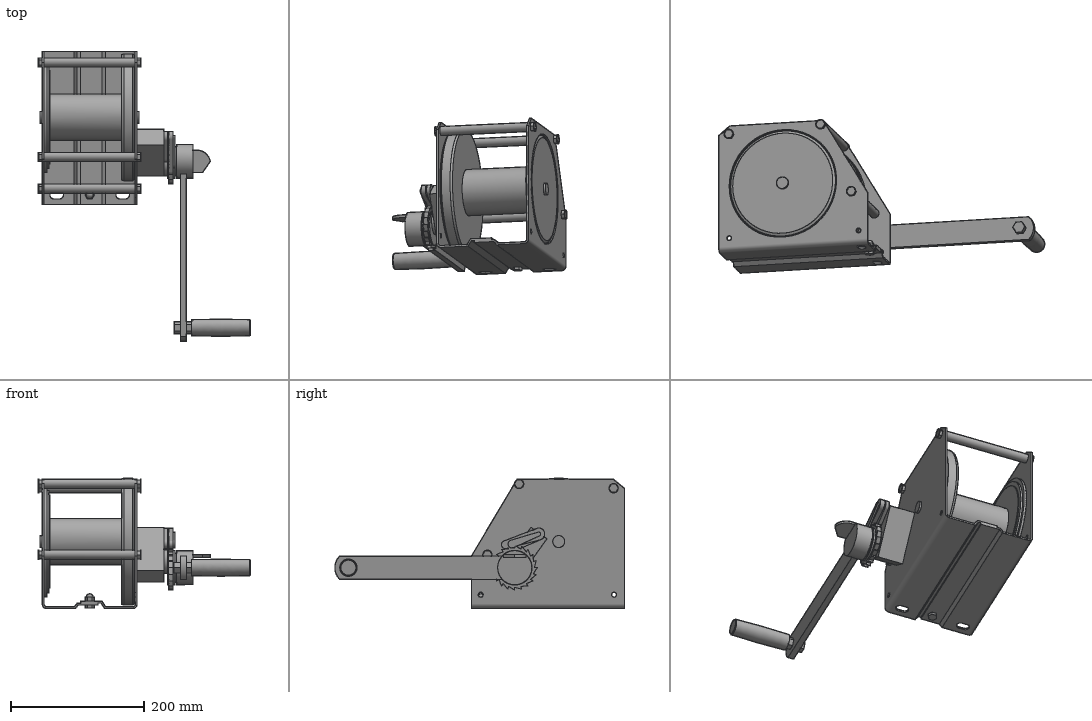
import cadquery as cq
import math


TOTAL_LENGTH_X = 318.23
TOTAL_LENGTH_Y = 434.98
TOTAL_HEIGHT = 196.0

SHEET = 3.0
FRAME_WIDTH = 142.6
PLATE_HEIGHT = 194.2
BACK_Y = 99.0
FRONT_Y = -131.0
BEND_RADIUS = 7.0
SLOPE_TOP_Y = -62.5
SLOPE_BOTTOM_Z = 79.0
BACK_CHAMFER_Y = 17.0
BACK_CHAMFER_Z = 14.0
LEFT_FOOT_END_X = 49.5
RIGHT_FOOT_END_X = 93.8
LOWER_RISE_RUN = 4.5
UPPER_RISE_RUN = 5.5
LOWER_OVERLAP_X = 84.0
UPPER_OVERLAP_X = 57.5
LOWER_RISE = 5.2
UPPER_RISE = LOWER_RISE + SHEET

SIDE_HOLE_DIAMETER = 7.0
SIDE_HOLE_Z = 21.0
SIDE_HOLE_YS = (83.0, -117.0)
SLOT_LENGTH = 20.0
SLOT_WIDTH = 12.0
SLOT_INSET = 21.8
SLOT_Y = -116.3

CLAMP_BOLT_Y = -116.5
CLAMP_HEX = 12.0
CLAMP_HEAD_BOTTOM = 1.0
CLAMP_NUT_HEIGHT = 6.0
CLAMP_DOME_RADIUS = 5.3

TIE_RODS = ((82.3, 180.7), (-59.4, 187.2), (-107.0, 80.9))
ROD_DIAMETER = 14.0
ROD_HEAD_HEX = 12.0
ROD_END_DISC = 1.0
ROD_HEAD_LEFT = 6.0
ROD_HEAD_RIGHT = 5.6

DRUM_Z = 100.7
BARREL_RADIUS = 34.8
RIGHT_FLANGE_RADIUS = TOTAL_HEIGHT - DRUM_Z
RIGHT_FLANGE_LEFT = 119.0
RIGHT_FLANGE_RIGHT = 138.0
RIM_TAPER_LENGTH = 3.5
RIM_TAPER = 1.2
RIM_RIGHT_BEVEL = 2.2
LEFT_OPENING_RADIUS = 82.8
LEFT_FLANGE_RADIUS = 81.2
LEFT_FACE_RADIUS = 77.3
LEFT_BEVEL = 1.5
INNER_STEPS = ((83.0, 3.0, 7.0), (77.0, 7.0, 10.0), (70.0, 10.0, 11.7))
SPACER_RADIUS = 90.0
HUB_DIAMETER = 18.0
HUB_LEFT_PROJECTION = 3.4
HUB_RIGHT_PROJECTION = 3.0

CRANK_Y = -66.0
CRANK_Z = 61.5
HOUSING_END_X = 182.5
HOUSING_TOP = (-41.7, 122.0)
HOUSING_FRONT = (-88.0, 57.0)
HOUSING_THICKNESS = 29.5
BACK_DISC_RADIUS = 18.0
BACK_DISC_CENTER = (-70.0, 70.6)
FRICTION_RADIUS = 26.0
FRICTION_LEFT_X = 188.0
RATCHET_LEFT_X = 189.8
RATCHET_RIGHT_X = 196.6
RATCHET_RADIUS = 33.8
RATCHET_ROOT_RADIUS = 29.5
RATCHET_TEETH = 20
CRANK_HUB_LEFT_X = 201.5
CRANK_HUB_RIGHT_X = 226.6
CRANK_HUB_RADIUS = 25.6
NECK_RADIUS = 22.0
PAWL_PIVOT = (-30.0, 112.0)
PAWL_LAYERS = (
    (HOUSING_END_X, FRICTION_LEFT_X, 9.0, (-60.0, 97.0), 7.0),
    (RATCHET_LEFT_X, RATCHET_RIGHT_X, 9.0, (-80.0, 96.0), 6.0),
    (RATCHET_RIGHT_X, 199.5, 3.0, (-70.0, 97.0), 6.0),
)
PAWL_PIN_RADIUS = 3.0

LEAF_BOTTOM_Z = 76.8
LEAF_TOP_Z = 81.0
LEAF_HALF_WIDTH = 17.0
LEAF_BACK_STRAIGHT = 7.0
LEAF_FRONT_STRAIGHT = 14.0
LEAF_BULGE = (247.5, 10.0)
LEAF_TIP_X = 252.3
LEAF_ROOT = 1.0

ARM_LEFT_X = 207.2
ARM_THICKNESS = 9.2
ARM_HEIGHT = 35.0
ARM_END_Y = BACK_Y - TOTAL_LENGTH_Y
ARM_SHOULDER_Y = -328.5
GRIP_Y = -315.5
GRIP_HEX = 16.0
GRIP_BOLT_HEAD = 9.3
GRIP_LEFT_X = 224.3
GRIP_RIGHT_X = TOTAL_LENGTH_X - ROD_HEAD_LEFT
GRIP_END_RADIUS = 12.3
GRIP_MIDDLE_RADIUS = 13.0
GRIP_CAP_LENGTH = 1.5
GRIP_CAP_BEVEL = 1.0


def x_cylinder(x0, x1, y, z, radius):
    """Cylinder along X about the axis at (y, z)."""
    return cq.Workplane("YZ", origin=(x0, y, z)).circle(radius).extrude(x1 - x0)


def x_hexagon(x0, x1, y, z, across_flats):
    """Hexagonal prism along X with corners pointing along Y."""
    corner_diameter = across_flats / math.cos(math.pi / 6)
    return cq.Workplane("YZ", origin=(x0, y, z)).polygon(6, corner_diameter).extrude(x1 - x0)


def revolved_about_x(radius_profile, y, z):
    """Solid of revolution about an X-parallel axis from (x, radius) points."""
    outline = cq.Workplane("XY", origin=(0, y, z)).polyline(radius_profile).close()
    return outline.revolve(360, (0, 0, 0), (1, 0, 0))


def side_outline():
    """Block across the frame with the outline of the side plates."""
    points = [
        (BACK_Y, 0),
        (BACK_Y, PLATE_HEIGHT - BACK_CHAMFER_Z),
        (BACK_Y - BACK_CHAMFER_Y, PLATE_HEIGHT),
        (SLOPE_TOP_Y, PLATE_HEIGHT),
        (FRONT_Y, SLOPE_BOTTOM_Z),
        (FRONT_Y, 0),
    ]
    return cq.Workplane("YZ").polyline(points).close().extrude(FRAME_WIDTH)


def frame_half(foot_end_x, rise_run, overlap_end_x, rise):
    """Left-hand bent sheet: side plate, foot and raised strip, full height along Y."""
    rise_end_x = foot_end_x + rise_run
    points = [
        (0, 0),
        (foot_end_x, 0),
        (rise_end_x, rise),
        (overlap_end_x, rise),
        (overlap_end_x, rise + SHEET),
        (rise_end_x - SHEET / 2, rise + SHEET),
        (foot_end_x - SHEET / 2, SHEET),
        (SHEET, SHEET),
        (SHEET, PLATE_HEIGHT),
        (0, PLATE_HEIGHT),
    ]
    sheet = cq.Workplane("XZ", origin=(0, BACK_Y, 0)).polyline(points).close().extrude(BACK_Y - FRONT_Y)
    sheet = sheet.edges(cq.selectors.NearestToPointSelector((0, 0, 0))).fillet(BEND_RADIUS)
    inner_corner = cq.selectors.NearestToPointSelector((SHEET, 0, SHEET))
    return sheet.edges(inner_corner).fillet(BEND_RADIUS - SHEET)


def frame():
    """Two bent sheets overlapping at the floor, with holes, slots and the drum opening."""
    lower = frame_half(LEFT_FOOT_END_X, LOWER_RISE_RUN, LOWER_OVERLAP_X, LOWER_RISE)
    upper = frame_half(
        FRAME_WIDTH - RIGHT_FOOT_END_X, UPPER_RISE_RUN, FRAME_WIDTH - UPPER_OVERLAP_X, UPPER_RISE
    )
    upper = upper.mirror("YZ").translate((FRAME_WIDTH, 0, 0))
    body = lower.union(upper).intersect(side_outline())
    for y in SIDE_HOLE_YS:
        body = body.cut(x_cylinder(0, FRAME_WIDTH, y, SIDE_HOLE_Z, SIDE_HOLE_DIAMETER / 2))
    slots = (
        cq.Workplane("XY")
        .pushPoints([(SLOT_INSET, SLOT_Y), (FRAME_WIDTH - SLOT_INSET, SLOT_Y)])
        .slot2D(SLOT_LENGTH, SLOT_WIDTH)
        .extrude(SHEET)
    )
    body = body.cut(slots)
    return body.cut(x_cylinder(0, SHEET, 0, DRUM_Z, LEFT_OPENING_RADIUS))


def clamp_bolt():
    """Hexagon head below the floor overlap and a domed nut above it."""
    floor_top = UPPER_RISE + SHEET
    nut_top = floor_top + CLAMP_NUT_HEIGHT
    corner_diameter = CLAMP_HEX / math.cos(math.pi / 6)
    base = cq.Workplane("XY", origin=(FRAME_WIDTH / 2, CLAMP_BOLT_Y, CLAMP_HEAD_BOTTOM))
    body = base.polygon(6, corner_diameter).extrude(nut_top - CLAMP_HEAD_BOTTOM)
    dome = cq.Workplane("XY").sphere(CLAMP_DOME_RADIUS)
    return body.union(dome.translate((FRAME_WIDTH / 2, CLAMP_BOLT_Y, nut_top)))


def tie_rod(y, z):
    """Round spacer rod with a hexagon and an end disc outside each side plate."""
    rod = x_cylinder(0, FRAME_WIDTH, y, z, ROD_DIAMETER / 2)
    bolt_left_x = -ROD_HEAD_LEFT
    bolt_right_x = FRAME_WIDTH + ROD_HEAD_RIGHT
    heads = (
        x_hexagon(bolt_left_x, 0, y, z, ROD_HEAD_HEX),
        x_hexagon(FRAME_WIDTH, bolt_right_x, y, z, ROD_HEAD_HEX),
        x_cylinder(bolt_left_x, bolt_left_x + ROD_END_DISC, y, z, ROD_DIAMETER / 2),
        x_cylinder(bolt_right_x - ROD_END_DISC, bolt_right_x, y, z, ROD_DIAMETER / 2),
    )
    for head in heads:
        rod = rod.union(head)
    return rod


def drum():
    """Barrel, wide right flange with its spacer, stepped left flange and the hub pin."""
    left_disc = [
        (0, 0),
        (0, LEFT_FACE_RADIUS),
        (LEFT_BEVEL, LEFT_FLANGE_RADIUS),
        (SHEET, LEFT_FLANGE_RADIUS),
        (SHEET, 0),
    ]
    body = revolved_about_x(left_disc, 0, DRUM_Z)
    for radius, x0, x1 in INNER_STEPS:
        body = body.union(x_cylinder(x0, x1, 0, DRUM_Z, radius))
    body = body.union(x_cylinder(SHEET, RIGHT_FLANGE_RIGHT, 0, DRUM_Z, BARREL_RADIUS))
    right_flange = [
        (RIGHT_FLANGE_LEFT, 0),
        (RIGHT_FLANGE_LEFT, RIGHT_FLANGE_RADIUS - RIM_TAPER),
        (RIGHT_FLANGE_LEFT + RIM_TAPER_LENGTH, RIGHT_FLANGE_RADIUS),
        (RIGHT_FLANGE_RIGHT - RIM_RIGHT_BEVEL, RIGHT_FLANGE_RADIUS),
        (RIGHT_FLANGE_RIGHT, RIGHT_FLANGE_RADIUS - RIM_RIGHT_BEVEL),
        (RIGHT_FLANGE_RIGHT, 0),
    ]
    body = body.union(revolved_about_x(right_flange, 0, DRUM_Z))
    spacer_end = FRAME_WIDTH - SHEET
    body = body.union(x_cylinder(RIGHT_FLANGE_RIGHT, spacer_end, 0, DRUM_Z, SPACER_RADIUS))
    pin_end = FRAME_WIDTH + HUB_RIGHT_PROJECTION
    return body.union(x_cylinder(-HUB_LEFT_PROJECTION, pin_end, 0, DRUM_Z, HUB_DIAMETER / 2))


def ratchet_wheel():
    """Saw-toothed wheel: each tooth drops radially and rises to the next along a slope."""
    points = []
    for tooth in range(RATCHET_TEETH):
        angle = 2 * math.pi * tooth / RATCHET_TEETH
        for radius in (RATCHET_RADIUS, RATCHET_ROOT_RADIUS):
            points.append((radius * math.cos(angle), radius * math.sin(angle)))
    plane = cq.Workplane("YZ", origin=(RATCHET_LEFT_X, CRANK_Y, CRANK_Z))
    return plane.polyline(points).close().extrude(RATCHET_RIGHT_X - RATCHET_LEFT_X)


def pawl_layer(x0, x1, pivot_radius, tip, tip_radius):
    """Plate with round ends about the pawl pivot and tip."""
    (pivot_y, pivot_z), (tip_y, tip_z) = PAWL_PIVOT, tip
    length = math.hypot(tip_y - pivot_y, tip_z - pivot_z)
    normal = ((pivot_z - tip_z) / length, (tip_y - pivot_y) / length)

    def beside(center, offset):
        return (center[0] + normal[0] * offset, center[1] + normal[1] * offset)

    bar_points = [
        beside(PAWL_PIVOT, pivot_radius),
        beside(tip, tip_radius),
        beside(tip, -tip_radius),
        beside(PAWL_PIVOT, -pivot_radius),
    ]
    bar = cq.Workplane("YZ", origin=(x0, 0, 0)).polyline(bar_points).close().extrude(x1 - x0)
    bar = bar.union(x_cylinder(x0, x1, pivot_y, pivot_z, pivot_radius))
    return bar.union(x_cylinder(x0, x1, tip_y, tip_z, tip_radius))


def pinion_housing():
    """Rectangular block tilted in the YZ plane, its upper front side set by two corners."""
    (top_y, top_z), (front_y, front_z) = HOUSING_TOP, HOUSING_FRONT
    length = math.hypot(top_y - front_y, top_z - front_z)
    across_y = HOUSING_THICKNESS * (top_z - front_z) / length
    across_z = HOUSING_THICKNESS * (front_y - top_y) / length
    corners = [
        HOUSING_TOP,
        HOUSING_FRONT,
        (front_y + across_y, front_z + across_z),
        (top_y + across_y, top_z + across_z),
    ]
    block = cq.Workplane("YZ", origin=(FRAME_WIDTH, 0, 0)).polyline(corners).close()
    return block.extrude(HOUSING_END_X - FRAME_WIDTH)


def brake():
    """Pinion housing, friction discs, ratchet wheel and pawl."""
    back_disc = x_cylinder(HOUSING_END_X, FRICTION_LEFT_X, *BACK_DISC_CENTER, BACK_DISC_RADIUS)
    body = pinion_housing().union(back_disc)
    discs = (
        (FRICTION_LEFT_X, RATCHET_LEFT_X, FRICTION_RADIUS),
        (RATCHET_RIGHT_X, RATCHET_RIGHT_X + SHEET, FRICTION_RADIUS),
        (RATCHET_RIGHT_X, CRANK_HUB_LEFT_X, NECK_RADIUS),
    )
    for x0, x1, radius in discs:
        body = body.union(x_cylinder(x0, x1, CRANK_Y, CRANK_Z, radius))
    body = body.union(ratchet_wheel())
    for layer in PAWL_LAYERS:
        body = body.union(pawl_layer(*layer))
    return body.union(x_cylinder(HOUSING_END_X, PAWL_LAYERS[-1][1], *PAWL_PIVOT, PAWL_PIN_RADIUS))


def hub_leaf():
    """Flat tongue, rounded at the back and pointed at the end, on the end face of the crank hub."""
    root_x = CRANK_HUB_RIGHT_X - LEAF_ROOT
    outline = (
        cq.Workplane("XY", origin=(0, CRANK_Y, LEAF_BOTTOM_Z))
        .moveTo(root_x, -LEAF_HALF_WIDTH)
        .lineTo(CRANK_HUB_RIGHT_X + LEAF_FRONT_STRAIGHT, -LEAF_HALF_WIDTH)
        .lineTo(LEAF_TIP_X, 0)
        .threePointArc(LEAF_BULGE, (CRANK_HUB_RIGHT_X + LEAF_BACK_STRAIGHT, LEAF_HALF_WIDTH))
        .lineTo(root_x, LEAF_HALF_WIDTH)
        .close()
    )
    return outline.extrude(LEAF_TOP_Z - LEAF_BOTTOM_Z)


def crank_arm():
    """Hub and flat arm with an arched free end."""
    hub = x_cylinder(CRANK_HUB_LEFT_X, CRANK_HUB_RIGHT_X, CRANK_Y, CRANK_Z, CRANK_HUB_RADIUS)
    half_height = ARM_HEIGHT / 2
    arm = (
        cq.Workplane("YZ", origin=(ARM_LEFT_X, 0, CRANK_Z))
        .moveTo(CRANK_Y, -half_height)
        .lineTo(ARM_SHOULDER_Y, -half_height)
        .threePointArc((ARM_END_Y, 0), (ARM_SHOULDER_Y, half_height))
        .lineTo(CRANK_Y, half_height)
        .close()
        .extrude(ARM_THICKNESS)
    )
    return hub.union(arm)


def grip():
    """Grip of two tapered halves, thickest in the middle, on a hexagon bolt through the arm."""
    middle_x = (GRIP_LEFT_X + GRIP_RIGHT_X) / 2
    body = x_hexagon(ARM_LEFT_X - GRIP_BOLT_HEAD, GRIP_LEFT_X, GRIP_Y, CRANK_Z, GRIP_HEX)
    cap_start_x = GRIP_RIGHT_X - GRIP_CAP_LENGTH
    barrel = (
        cq.Workplane("XY", origin=(0, GRIP_Y, CRANK_Z))
        .moveTo(GRIP_LEFT_X, 0)
        .lineTo(GRIP_LEFT_X, GRIP_END_RADIUS)
        .lineTo(middle_x, GRIP_MIDDLE_RADIUS)
        .lineTo(cap_start_x, GRIP_END_RADIUS)
        .lineTo(GRIP_RIGHT_X, GRIP_END_RADIUS - GRIP_CAP_BEVEL)
        .lineTo(GRIP_RIGHT_X, 0)
        .close()
        .revolve(360, (0, 0, 0), (1, 0, 0))
    )
    return body.union(barrel)


winch = frame().union(drum()).union(clamp_bolt())
for rod_y, rod_z in TIE_RODS:
    winch = winch.union(tie_rod(rod_y, rod_z))
for assembly in (brake(), crank_arm(), hub_leaf(), grip()):
    winch = winch.union(assembly)
result = winch